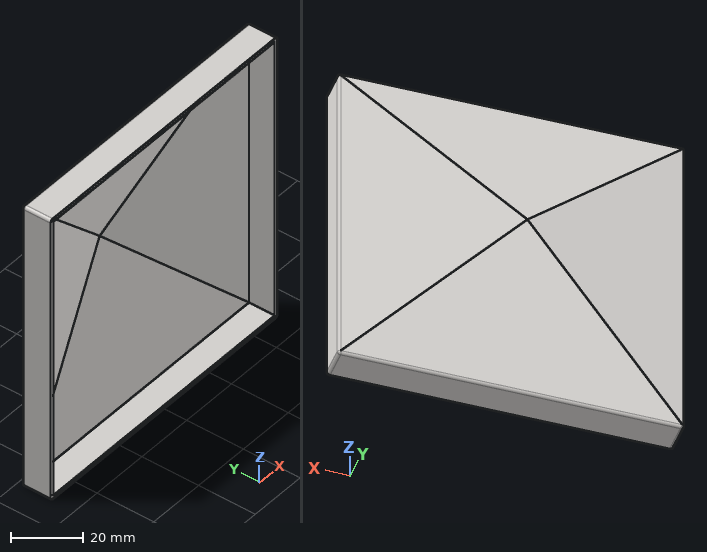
import cadquery as cq
import math

outer_side = 101.2
total_height = 23.96
eaves_height = 10.0
wall = 1.2
edge_radius = 1.0

rim_y = -total_height / 2
roof_slope = (total_height - eaves_height) / (outer_side / 2)
roof_angle = math.atan(roof_slope)

inner_side = outer_side - 2 * wall
inner_apex_height = total_height - wall / math.cos(roof_angle)
inner_eaves_height = inner_apex_height - inner_side / 2 * roof_slope


def roofed_block(side, side_height, apex_height):
    """Square block standing on the rim plane with a pyramid roof, as two crossing gabled prisms."""
    half = side / 2
    gable = [
        (-half, rim_y),
        (half, rim_y),
        (half, rim_y + side_height),
        (0, rim_y + apex_height),
        (-half, rim_y + side_height),
    ]
    ridge_along_z = cq.Workplane("XY").polyline(gable).close().extrude(half, both=True)
    ridge_along_x = ridge_along_z.rotate((0, 0, 0), (0, 1, 0), 90)
    return ridge_along_z.intersect(ridge_along_x)


def outer_body():
    """Outside of the cap with rounded skirt corners and eaves; rim and roof hips stay sharp."""
    body = roofed_block(outer_side, eaves_height, total_height)
    skirt_band = cq.selectors.BoxSelector(
        (-outer_side, rim_y + edge_radius, -outer_side),
        (outer_side, rim_y + eaves_height + edge_radius, outer_side),
    )
    return body.edges(skirt_band).fillet(edge_radius)


def cavity():
    """Sharp-cornered hollow that follows the skirt and the roof."""
    return roofed_block(inner_side, inner_eaves_height, inner_apex_height)


result = outer_body().cut(cavity())